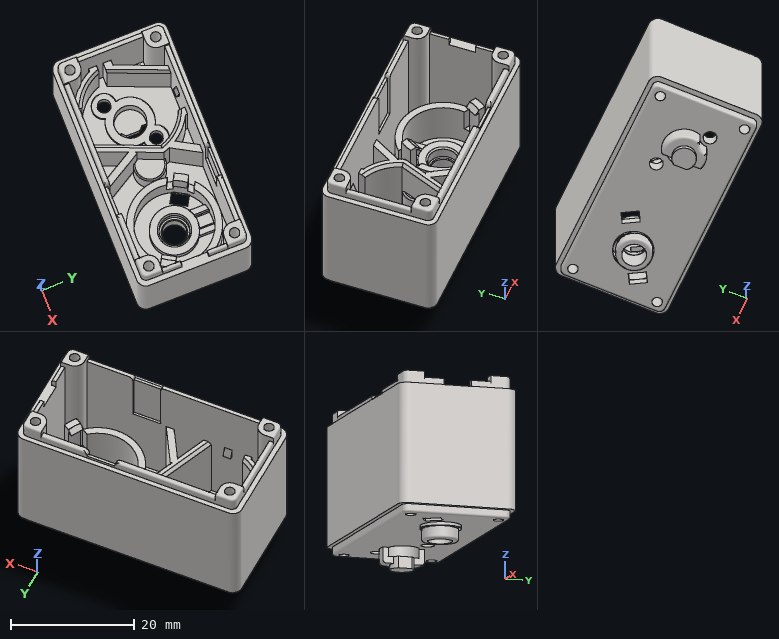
import cadquery as cq
import math

SLEEVE_X, SLEEVE_Y, SLEEVE_TOP = 40.0, 20.0, 19.9
SLEEVE_RADIUS = 1.6
LIP_X, LIP_Y, LIP_RADIUS = 38.2, 18.4, 1.0
BASE_BOTTOM = -1.4
RIM_TOP = 21.2
POST_TOP = 22.2
CAVITY_X, CAVITY_Y = 36.65, 16.65
FLOOR = 0.0
EDGE_ROUND = 0.4
RIM_ROUND = 0.35

POST_X, POST_Y = 15.6, 5.7
POST_RADIUS = 1.8
SCREW_X, SCREW_Y, SCREW_DIAMETER = POST_X + POST_RADIUS, POST_Y + POST_RADIUS, 1.7

SIDE_NOTCH_LEFT, SIDE_NOTCH_RIGHT, SIDE_NOTCH_FLOOR = 2.45, 7.35, 20.4
NOTCH_ROUND = RIM_TOP - SIDE_NOTCH_FLOOR
RECESS_DEPTH, RECESS_BOTTOM = 0.4, 12.2
END_NOTCH_WIDTH = 4.65

LEFT_X = -9.7
RIB_TOP = 12.0
RIB_WIDTH = 1.25
RIB_BEVEL = 0.5
ARC_INNER = 7.8
ARC_OUTER = ARC_INNER + RIB_WIDTH
ARC_END = 3.05
ARC_JOINT = (7.4, 2.45)
FRAME_GAP = (-2.5, -1.3)
LEG_WIDTH = 1.35
STRAIGHT_LEG_END, ARC_LEG_END = 7.6, 7.9
BRACE_X, BRACE_LEAN = 0.7, 30.0
BRACE_LENGTH_UPPER, BRACE_LENGTH_LOWER = 5.15, 7.3

PAD_TOP = 0.8
PAD_RADIUS = 4.1
PAD_POCKET_DIAMETER = 5.4
EAR_OFFSET = (3.95, 3.0)
EAR_RADIUS, EAR_HOLE_DIAMETER = 2.1, 2.2
LATCH_X, LATCH_RADIUS = -10.1, 3.7
LATCH_FACE, LATCH_BOTTOM = -9.1, -4.0
LATCH_RELIEF_RADIUS = 1.7
LATCH_ROUND = 0.5
LATCH_PIN_DIAMETER, PIN_FACE = 4.0, -8.45
PIN_TOP, PIN_BOTTOM = -2.9, -4.8

STUD_X, STUD_DIAMETER, STUD_TOP = -1.05, 5.4, 6.0
STUD_BEVEL = 0.3
CATCH_WIDTH, CATCH_DEPTH, CATCH_HEIGHT = 1.35, 0.55, 1.6

RIGHT_X = 9.8
RING_OUTER, RING_INNER, RING_TOP = 7.8, 6.6, 7.2
RING_GAP_WIDTH, RING_GAP_FLOOR = 4.5, 3.2
CLIP_ANGLE, CLIP_WIDTH, CLIP_TOP = 150.0, 2.4, 10.4
BARB_DEPTH, BARB_HEIGHT = 0.9, 0.8
CLIP_SLOT_WIDTH, CLIP_SLOT_DEPTH = 2.9, 1.95
HUB_RADIUS, HUB_TOP = 4.1, 2.0
GUIDE_OUTER, GUIDE_INNER, GUIDE_BEVEL, GUIDE_TOP = 2.25, 1.05, 0.25, 1.6
BORE_DIAMETER, BORE_BEVEL = 4.0, 0.15
SEAT_DIAMETER, SEAT_FLOOR, SEAT_BEVEL = 5.0, 0.0, 0.3
SPIGOT_DIAMETER, SPIGOT_BOTTOM = 6.0, -3.9
COLLAR_DIAMETER, COLLAR_BOTTOM = 6.7, -1.9
SPIGOT_ROUND = 0.35


def box(x0, x1, y0, y1, z0, z1):
    return cq.Workplane("XY").box(x1 - x0, y1 - y0, z1 - z0, centered=False).translate((x0, y0, z0))


def cylinder(x, y, radius, z0, z1):
    return cq.Workplane("XY").workplane(offset=z0).center(x, y).circle(radius).extrude(z1 - z0)


def rounded_block(length, width, radius, z0, z1):
    block = cq.Workplane("XY").workplane(offset=z0).rect(length, width).extrude(z1 - z0)
    return block.edges("|Z").fillet(radius)


def rounded_lip(top, edge_round):
    """Lip block up to the given height with its top edge rounded."""
    block = rounded_block(LIP_X, LIP_Y, LIP_RADIUS, FLOOR, top)
    return block.faces(">Z").edges().fillet(edge_round)


def cavity(top):
    return box(-CAVITY_X / 2, CAVITY_X / 2, -CAVITY_Y / 2, CAVITY_Y / 2, FLOOR, top)


def corner_column(sx, sy):
    """Square corner column, rounded towards the cavity around its screw hole."""
    column = box(POST_X, LIP_X / 2, POST_Y, LIP_Y / 2, FLOOR, POST_TOP)
    column = column.edges("|Z and <X and <Y").fillet(POST_RADIUS)
    if sx < 0:
        column = column.mirror("YZ")
    if sy < 0:
        column = column.mirror("XZ")
    return column


def housing():
    base = rounded_block(LIP_X, LIP_Y, LIP_RADIUS, BASE_BOTTOM, FLOOR)
    base = base.faces("<Z").edges().fillet(EDGE_ROUND)
    sleeve = rounded_block(SLEEVE_X, SLEEVE_Y, SLEEVE_RADIUS, FLOOR, SLEEVE_TOP)
    body = base.union(sleeve).union(rounded_lip(RIM_TOP, RIM_ROUND))
    body = body.cut(cavity(POST_TOP)).cut(side_notches()).cut(wall_recesses())
    end_notch = box(POST_X, LIP_X / 2, -END_NOTCH_WIDTH / 2, END_NOTCH_WIDTH / 2, SLEEVE_TOP, RIM_TOP)
    body = body.cut(end_notch)
    tall_lip = rounded_lip(POST_TOP, EDGE_ROUND)
    for sx in (-1, 1):
        for sy in (-1, 1):
            body = body.union(corner_column(sx, sy).intersect(tall_lip))
    return body


def side_notches():
    """Dip across both long rims, with rounded shoulders."""
    left, right, r = SIDE_NOTCH_LEFT, SIDE_NOTCH_RIGHT, NOTCH_ROUND
    mid = r * (1 - math.sqrt(0.5))
    return (
        cq.Workplane("XZ").moveTo(left, SIDE_NOTCH_FLOOR).lineTo(right, SIDE_NOTCH_FLOOR)
        .threePointArc((right + mid, RIM_TOP - mid), (right + r, RIM_TOP))
        .lineTo(left - r, RIM_TOP)
        .threePointArc((left - mid, RIM_TOP - mid), (left, SIDE_NOTCH_FLOOR))
        .close().extrude(LIP_Y / 2, both=True)
    )


def wall_recesses():
    half = CAVITY_Y / 2 + RECESS_DEPTH
    return box(SIDE_NOTCH_LEFT, SIDE_NOTCH_RIGHT, -half, half, RECESS_BOTTOM, RIM_TOP)


def straight_rib():
    """Leaning rib from the -Y wall up to the arc, bevelled on its inner edge."""
    foot_y = -CAVITY_Y / 2
    joint_x, joint_y = ARC_JOINT
    run_x, run_y = joint_x - ARC_END, joint_y - foot_y
    profile = [
        (0, FLOOR), (-RIB_WIDTH, FLOOR), (-RIB_WIDTH, RIB_TOP),
        (-RIB_BEVEL, RIB_TOP), (0, RIB_TOP - RIB_BEVEL),
    ]
    overlong = math.hypot(run_x, run_y) + 2 * RIB_WIDTH
    rib = cq.Workplane("YZ").polyline(profile).close().extrude(overlong).translate((-RIB_WIDTH, 0, 0))
    rib = rib.rotate((0, 0, 0), (0, 0, 1), math.degrees(math.atan2(run_y, run_x)))
    rib = rib.translate((ARC_END, foot_y, 0))
    return rib.intersect(box(0, 2 * ARC_OUTER, foot_y, joint_y, FLOOR, RIB_TOP))


def arc_rib():
    profile = [
        (ARC_INNER, FLOOR), (ARC_OUTER, FLOOR), (ARC_OUTER, RIB_TOP),
        (ARC_INNER + RIB_BEVEL, RIB_TOP), (ARC_INNER, RIB_TOP - RIB_BEVEL),
    ]
    ring = cq.Workplane("XZ").polyline(profile).close().revolve(360, (0, 0, 0), (0, 1, 0))
    rib = ring.intersect(box(ARC_END, ARC_OUTER, ARC_JOINT[1], CAVITY_Y / 2, FLOOR, RIB_TOP))
    wall_foot = box(ARC_END, ARC_END + RIB_WIDTH, ARC_INNER, CAVITY_Y / 2, FLOOR, RIB_TOP)
    return rib.union(wall_foot)


def rib_frame():
    """Two straight and two arc ribs, alike under a half turn about the frame axis."""
    half = straight_rib().union(arc_rib())
    turned = half.rotate((0, 0, 0), (0, 0, 1), 180).translate((LEFT_X, 0, 0))
    gap_low, gap_high = FRAME_GAP
    wall = -CAVITY_X / 2
    straight_end, arc_end = LEFT_X - STRAIGHT_LEG_END, LEFT_X - ARC_LEG_END
    turned = turned.union(box(wall, straight_end, gap_high, gap_high + LEG_WIDTH, FLOOR, RIB_TOP))
    turned = turned.union(box(wall, arc_end, gap_low - LEG_WIDTH, gap_low, FLOOR, RIB_TOP))
    turned = turned.cut(box(wall, LEFT_X, gap_low, gap_high, FLOOR, RIB_TOP))
    return half.translate((LEFT_X, 0, 0)).union(turned)


def brace(side, length):
    wall = CAVITY_Y / 2
    strip = box(-RIB_WIDTH / 2, RIB_WIDTH / 2, -length, RIB_WIDTH, FLOOR, RIB_TOP)
    strip = strip.rotate((0, 0, 0), (0, 0, 1), -BRACE_LEAN).translate((BRACE_X, wall, 0))
    return strip if side > 0 else strip.mirror("XZ")


def ribs():
    frame = rib_frame().union(brace(1, BRACE_LENGTH_UPPER)).union(brace(-1, BRACE_LENGTH_LOWER))
    return frame.intersect(cavity(RIB_TOP))


def both_ends(shape):
    """The shape and its copy turned half round the Z axis."""
    return shape.union(shape.rotate((0, 0, 0), (0, 0, 1), 180))


def ears(radius, z0, z1):
    return both_ends(cylinder(*EAR_OFFSET, radius, z0, z1)).translate((LEFT_X, 0, 0))


def left_pad():
    return cylinder(LEFT_X, 0, PAD_RADIUS, FLOOR, PAD_TOP).union(ears(EAR_RADIUS, FLOOR, PAD_TOP))


def latch():
    """Flat-sided block and pin under the base; the pin's nose shows inside the pocket."""
    block = cylinder(LATCH_X, 0, LATCH_RADIUS, LATCH_BOTTOM, BASE_BOTTOM)
    relief = cylinder(LEFT_X - EAR_OFFSET[0], -EAR_OFFSET[1], LATCH_RELIEF_RADIUS, LATCH_BOTTOM, BASE_BOTTOM)
    block = block.cut(relief).faces("<Z").edges().fillet(LATCH_ROUND)
    reach = LATCH_X - LATCH_RADIUS
    block = block.intersect(box(reach, LATCH_FACE, -LATCH_RADIUS, LATCH_RADIUS, LATCH_BOTTOM, BASE_BOTTOM))
    pin = cylinder(LATCH_X, 0, LATCH_PIN_DIAMETER / 2, PIN_BOTTOM, PIN_TOP)
    pin = pin.intersect(box(reach, PIN_FACE, -LATCH_RADIUS, LATCH_RADIUS, PIN_BOTTOM, PIN_TOP))
    return block.union(pin)


def left_openings():
    pocket = cylinder(LEFT_X, 0, PAD_POCKET_DIAMETER / 2, PIN_TOP, PAD_TOP)
    return pocket.union(ears(EAR_HOLE_DIAMETER / 2, BASE_BOTTOM, PAD_TOP))


def stud():
    return cylinder(STUD_X, 0, STUD_DIAMETER / 2, FLOOR, STUD_TOP).faces(">Z").chamfer(STUD_BEVEL)


def wall_catches():
    """Small wedges on the long walls, on the frame axis, sloping out downwards."""
    wall = CAVITY_Y / 2
    low = RIB_TOP - CATCH_HEIGHT
    wedge = cq.Workplane("YZ").polyline([(wall, RIB_TOP), (wall, low), (wall - CATCH_DEPTH, low)]).close()
    wedge = wedge.extrude(CATCH_WIDTH / 2, both=True).translate((LEFT_X, 0, 0))
    return wedge.union(wedge.mirror("XZ"))


def clip_turn(shape):
    return both_ends(shape.rotate((0, 0, 0), (0, 0, 1), CLIP_ANGLE))


def ring_sector(width, z0, z1):
    """Piece of the ring of the given width, centred on +X."""
    ring = cylinder(0, 0, RING_OUTER, z0, z1).cut(cylinder(0, 0, RING_INNER, z0, z1))
    return ring.intersect(box(0, RING_OUTER, -width / 2, width / 2, z0, z1))


def ring_and_clips():
    ring = cylinder(0, 0, RING_OUTER, FLOOR, RING_TOP).cut(cylinder(0, 0, RING_INNER, FLOOR, RING_TOP))
    ring = ring.cut(clip_turn(ring_sector(RING_GAP_WIDTH, RING_GAP_FLOOR, RING_TOP)))
    barb_low = CLIP_TOP - BARB_HEIGHT
    barb = (
        cq.Workplane("XZ")
        .polyline([(RING_INNER, CLIP_TOP), (RING_INNER - BARB_DEPTH, barb_low), (RING_INNER, barb_low)])
        .close().extrude(CLIP_WIDTH / 2, both=True)
    )
    return ring.union(clip_turn(ring_sector(CLIP_WIDTH, FLOOR, CLIP_TOP).union(barb)))


def hub():
    """Raised hub with two guide rails leading from it to the ring in +Y."""
    rail = [
        (GUIDE_INNER, FLOOR), (GUIDE_OUTER, FLOOR), (GUIDE_OUTER, GUIDE_TOP),
        (GUIDE_INNER + GUIDE_BEVEL, GUIDE_TOP), (GUIDE_INNER, GUIDE_TOP - GUIDE_BEVEL),
    ]
    rail = cq.Workplane("XZ").polyline(rail).close().extrude(-RING_OUTER)
    rail = rail.intersect(cylinder(0, 0, RING_INNER, FLOOR, HUB_TOP))
    rails = rail.union(rail.mirror("YZ")).cut(cylinder(0, 0, HUB_RADIUS, FLOOR, HUB_TOP))
    return cylinder(0, 0, HUB_RADIUS, FLOOR, HUB_TOP).union(rails)


def spigot():
    foot = cylinder(0, 0, SPIGOT_DIAMETER / 2, SPIGOT_BOTTOM, BASE_BOTTOM)
    foot = foot.faces("<Z").edges().fillet(SPIGOT_ROUND)
    offset = (COLLAR_DIAMETER - SPIGOT_DIAMETER) / 2
    return foot.union(cylinder(offset, 0, COLLAR_DIAMETER / 2, COLLAR_BOTTOM, BASE_BOTTOM))


def seat_bore():
    """Stepped bore with bevelled edges, as one turned profile."""
    bore, seat = BORE_DIAMETER / 2, SEAT_DIAMETER / 2
    profile = [
        (0, SPIGOT_BOTTOM), (bore, SPIGOT_BOTTOM), (bore, SEAT_FLOOR - BORE_BEVEL),
        (bore + BORE_BEVEL, SEAT_FLOOR), (seat, SEAT_FLOOR), (seat, HUB_TOP - SEAT_BEVEL),
        (seat + SEAT_BEVEL, HUB_TOP), (0, HUB_TOP),
    ]
    return cq.Workplane("XZ").polyline(profile).close().revolve(360, (0, 0, 0), (0, 1, 0))


def seat_openings():
    slot = box(RING_INNER - CLIP_SLOT_DEPTH, RING_INNER, -CLIP_SLOT_WIDTH / 2, CLIP_SLOT_WIDTH / 2,
               BASE_BOTTOM, FLOOR)
    return seat_bore().union(clip_turn(slot)).translate((RIGHT_X, 0, 0))


def screw_holes():
    plane = cq.Workplane("XY").workplane(offset=BASE_BOTTOM)
    corners = plane.rect(2 * SCREW_X, 2 * SCREW_Y, forConstruction=True).vertices()
    return corners.circle(SCREW_DIAMETER / 2).extrude(POST_TOP - BASE_BOTTOM)


left_side = left_pad().union(latch()).union(stud()).union(wall_catches())
right_side = ring_and_clips().union(hub()).union(spigot()).translate((RIGHT_X, 0, 0))
result = housing().union(ribs()).union(left_side).union(right_side)
result = result.cut(left_openings()).cut(seat_openings()).cut(screw_holes())